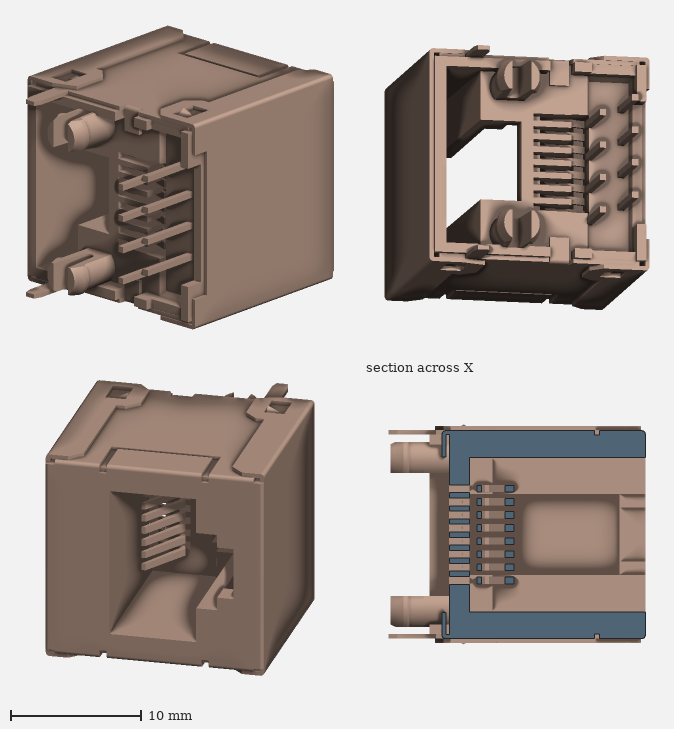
import cadquery as cq


sheet = 0.33
half_width = 8.65
half_height = 8.33
back = 16.55
shell_end = 0.41
plate_end = 0.5
edge_radius = 0.3
plate_top = half_height - sheet
core_top = plate_top - sheet
core_side = half_width - sheet
core_back = back - sheet
relief_x = 7.86

wall_z = 6.91
left_wall_x = -7.43
post_x = 7.56
post_z = 4.8
post_cut_y = 1.5
shield_cut_z = 5.87
shield_cut_y = 1.8
block_face = 1.48
block_left = -4.4
block_right = 4.02
well_draft = 0.12
latch_well_end = 14.58

socket_start = 3.05
socket_left = -3.35
socket_right = 3.5
socket_half = 5.91
step_x = -1.97
step_y = 4.83
latch_wide_half = 3.11
latch_wide_left = -5.0
latch_narrow_half = 2.07
latch_narrow_left = -6.3
window_right = -1.18

contact_count = 8
contact_pitch = 1.0
contact_width = 0.55
contact_gauge = 0.3
slot_left = -0.24
slot_floor = 2.56
slot_open_x = 0.51
comb_end = 2.75
comb_half = 3.85
comb_depth = 4.14

pocket_end = 0.53
pocket_floor = 1.97
pocket_taper = 0.24
pocket_end_taper = 0.35
insert_left = block_right + pocket_taper
pin_width = 0.5
pin_pitch = 2.55
pin_rows_x = (4.2, 6.74)
pin_tip = -3.15

peg_x = -2.15
peg_z = 5.75
peg_inner_flat = 4.73
peg_outer_flat = 7.1
peg_tip = -3.0

clip_left = 0.93
clip_right = 2.42
clip_relief_y = 1.58
clip_face = 0.9
clip_end_z = 5.95
notch_left = 0.75
notch_right = 2.7


def box(x0, x1, y0, y1, z0, z1):
    """Box between two corners."""
    return cq.Workplane("XY").box(x1 - x0, y1 - y0, z1 - z0, centered=False).translate((x0, y0, z0))


def plate(points, z0, z1):
    """XY outline raised from z0 to z1."""
    return cq.Workplane("XY").workplane(offset=z0).polyline(points).close().extrude(z1 - z0)


def both_sides(body):
    """The body together with its mirror image below Z = 0."""
    return body.union(body.mirror("XY"))


def make_housing():
    """Plastic body with the central block, the well and the component pocket."""
    body = box(-core_side, core_side, 0, core_back, -core_top, core_top)
    body = body.cut(box(left_wall_x, post_x, 0, block_face, -wall_z, wall_z))
    body = body.cut(box(block_right, post_x, 0, pocket_end, -core_top, core_top))
    body = body.cut(box(post_x, core_side, 0, post_cut_y, -post_z, post_z))
    body = body.cut(box(notch_left, notch_right, 0, block_face, -core_top, core_top))
    well = [
        (left_wall_x, block_face),
        (block_left, block_face),
        (block_left - well_draft, latch_well_end),
        (left_wall_x, latch_well_end),
    ]
    body = body.cut(plate(well, -wall_z, wall_z))
    pocket = (
        cq.Workplane("XZ", origin=((block_right + post_x) / 2, block_face, 0))
        .rect(post_x - block_right, 2 * wall_z)
        .workplane(offset=block_face - pocket_floor)
        .rect(post_x - block_right - 2 * pocket_taper, 2 * (wall_z - pocket_end_taper))
        .loft(ruled=True)
    )
    return body.cut(pocket)


def make_socket():
    """Plug space, latch channel and the window through the central block."""
    plug = box(socket_left, socket_right, socket_start, back, -socket_half, socket_half)
    plug = plug.cut(box(socket_left, step_x, socket_start, step_y, -socket_half, socket_half))
    wide = box(latch_wide_left, window_right, block_face, back, -latch_wide_half, latch_wide_half)
    narrow = box(
        latch_narrow_left, window_right, block_face, back, -latch_narrow_half, latch_narrow_half
    )
    return plug.union(wide).union(narrow)


def centred_heights(count, pitch):
    """Evenly spaced Z positions, centred on Z = 0."""
    middle = (count - 1) / 2
    return [(i - middle) * pitch for i in range(count)]


def make_contact_slots():
    """Comb slots for the springs and the recess beside the comb."""
    slots = box(comb_end, insert_left, block_face, comb_depth, -comb_half, comb_half)
    for z in centred_heights(contact_count, contact_pitch):
        low, high = z - contact_width / 2, z + contact_width / 2
        slots = slots.union(box(slot_left, comb_end, block_face, slot_floor, low, high))
        slots = slots.union(box(slot_open_x, comb_end, block_face, socket_start, low, high))
    return slots


def make_contacts():
    """Contact springs: out of the insert, across behind the comb and back into the socket."""
    root_y = 3.65
    peak = (2.95, 3.15)
    dip = (0.73, 3.94)
    bend = (slot_open_x, 4.53)
    spring_end = (2.75, 8.27)
    outline = [
        (insert_left, root_y),
        peak,
        dip,
        bend,
        spring_end,
        (spring_end[0] + contact_gauge, spring_end[1]),
        (dip[0] + contact_gauge, bend[1]),
        (dip[0] + contact_gauge, dip[1] + contact_gauge),
        (peak[0], peak[1] + contact_gauge),
        (insert_left, root_y + contact_gauge),
    ]
    springs = cq.Workplane("XY")
    for z in centred_heights(contact_count, contact_pitch):
        springs = springs.union(plate(outline, z - contact_width / 2, z + contact_width / 2))
    return springs


def make_pins():
    """Two rows of square solder pins, staggered by half a pitch."""
    pins = cq.Workplane("XY")
    half = pin_width / 2
    for x, shift in zip(pin_rows_x, (-pin_pitch / 4, pin_pitch / 4)):
        for height in centred_heights(contact_count // 2, pin_pitch):
            z = height + shift
            pins = pins.union(box(x - half, x + half, pin_tip, pocket_floor, z - half, z + half))
    return pins


def make_peg():
    """Snap peg with a barb, flattened above and below."""
    radius, barb_radius, tip_radius = 1.55, 1.73, 1.4
    barb_start, barb_full, barb_end = -1.54, -1.7, -2.03
    profile = [
        (0, block_face),
        (radius, block_face),
        (radius, barb_start),
        (barb_radius, barb_full),
        (barb_radius, barb_end),
        (tip_radius, peg_tip),
        (0, peg_tip),
    ]
    peg = cq.Workplane("XY").polyline(profile).close().revolve(360, (0, 0, 0), (0, 1, 0))
    peg = peg.translate((peg_x, 0, peg_z))
    flats = box(
        peg_x - barb_radius,
        peg_x + barb_radius,
        peg_tip,
        block_face,
        peg_inner_flat,
        peg_outer_flat,
    )
    return peg.intersect(flats)


def make_peg_split():
    """Widening slot with a round end that splits the peg into two legs."""
    root_half, tip_half = 0.5, 0.75
    split_end = 0.51
    return (
        cq.Workplane("XY", origin=(peg_x, 0, peg_inner_flat))
        .moveTo(-tip_half, peg_tip)
        .lineTo(-root_half, split_end - root_half)
        .threePointArc((0, split_end), (root_half, split_end - root_half))
        .lineTo(tip_half, peg_tip)
        .close()
        .extrude(peg_outer_flat - peg_inner_flat)
    )


def make_inner_shell():
    """Side walls, mating face and the upper and lower plates."""
    shell = box(-half_width, half_width, shell_end, back, -plate_top, plate_top)
    shell = shell.faces(">Y").edges().fillet(edge_radius)
    shell = shell.cut(box(-core_side, core_side, shell_end, core_back, -core_top, core_top))
    corner = box(relief_x, core_side, shell_end, back, core_top, plate_top)
    corner = corner.union(box(relief_x, half_width, core_back, back, core_top, plate_top))
    corner = corner.union(corner.mirror("YZ"))
    shell = shell.cut(both_sides(corner))
    for low in (-plate_top, core_top):
        shell = shell.cut(box(-core_side, core_side, shell_end, plate_end, low, low + sheet))
    return shell.cut(
        box(core_side, half_width, shell_end, shield_cut_y, -shield_cut_z, shield_cut_z)
    )


def make_plate_cuts():
    """U-shaped slot around the spring tab and the notch around the clip."""
    slot_half, tab_half = 4.33, 3.75
    slot_y, tab_y = 12.65, 12.98
    slot = box(-slot_half, slot_half, slot_y, back, core_top, plate_top)
    slot = slot.union(box(-slot_half, slot_half, core_back, back, core_top - sheet, core_top))
    slot = slot.cut(box(-tab_half, tab_half, tab_y, back, core_top - sheet, plate_top))
    notch = plate(
        [
            (notch_left, shell_end),
            (clip_left, clip_relief_y),
            (clip_right, clip_relief_y),
            (notch_right, shell_end),
        ],
        core_top,
        plate_top,
    )
    return both_sides(slot.union(notch))


def make_clip():
    """Tongue bent inwards from the plate in front of the central block."""
    clip = box(clip_left, clip_right, clip_face, clip_face + sheet, clip_end_z, plate_top)
    clip = clip.union(box(clip_left, clip_right, clip_face, clip_relief_y, core_top, plate_top))
    return clip.edges("|X and <Y and >Z").fillet(edge_radius)


def make_leg():
    """Board leg in line with the upper plate."""
    left, right = -5.83, -4.57
    shoulder = -2.46
    taper = 0.2
    return plate(
        [
            (left, plate_end),
            (left, shoulder),
            (left + taper, pin_tip),
            (right - taper, pin_tip),
            (right, shoulder),
            (right, plate_end),
        ],
        core_top,
        plate_top,
    )


def make_flap(side, ear_corner_y, ear_end_x):
    """Flap folded from the left (-1) or right (1) wall over the upper plate.

    The free corner of the ear slopes from ear_corner_y on its inner edge to ear_end_x on the
    shell edge.  A window in the ear shows a barb pressed out of the plate.
    """
    strip_x, ear_x = 5.87, 4.15
    strip_chamfer = 1.0
    ear_start, ear_full = 5.08, 4.08
    window_in, window_out = 5.48, 7.1
    window_low, window_high = 1.26, 3.72
    outline = [
        (half_width, shell_end),
        (half_width, core_back),
        (strip_x + strip_chamfer, core_back),
        (strip_x, core_back - strip_chamfer),
        (strip_x, ear_start),
        (ear_x + ear_start - ear_full, ear_start),
        (ear_x, ear_full),
        (ear_x, ear_corner_y),
        (ear_end_x, shell_end),
    ]
    flap = plate(outline, plate_top, half_height)
    flap = flap.union(box(core_side, half_width, shell_end, core_back, core_top, half_height))
    flap = flap.edges("|Y and >X and >Z").fillet(edge_radius)
    flap = flap.cut(box(window_in, window_out, window_low, window_high, plate_top, half_height))
    if side < 0:
        flap = flap.mirror("YZ")
    return flap


def make_barb():
    """Half pyramid rising towards the middle of the plate."""
    inner, tip = 5.52, 6.46
    middle_y, half_base = 2.6, 0.7
    height = 0.45
    base = [
        cq.Vector(inner, middle_y - half_base, plate_top),
        cq.Vector(tip, middle_y, plate_top),
        cq.Vector(inner, middle_y + half_base, plate_top),
    ]
    apex = cq.Vector(inner, middle_y, plate_top + height)
    rims = [base]
    for i in range(3):
        rims.append([base[i], base[(i + 1) % 3], apex])
    faces = [cq.Face.makeFromWires(cq.Wire.makePolygon(rim, close=True)) for rim in rims]
    return cq.Workplane(obj=cq.Solid.makeSolid(cq.Shell.makeShell(faces)))


housing = make_housing().cut(make_socket()).cut(make_contact_slots())
housing = housing.union(make_contacts()).union(make_pins()).union(both_sides(make_peg()))
housing = housing.cut(both_sides(make_peg_split()))

barb = make_barb()
shell = make_inner_shell().cut(make_plate_cuts()).cut(make_socket())
shell = shell.union(both_sides(make_clip())).union(both_sides(make_leg()))
shell = shell.union(both_sides(make_flap(side=-1, ear_corner_y=1.06, ear_end_x=6.09)))
shell = shell.union(both_sides(make_flap(side=1, ear_corner_y=1.45, ear_end_x=5.08)))
shell = shell.union(both_sides(barb.union(barb.mirror("YZ"))))

result = housing.union(shell).solids()